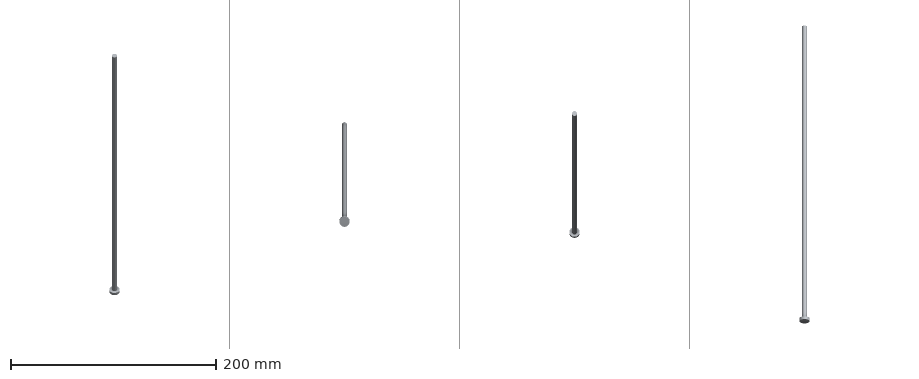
import cadquery as cq

TOTAL_LENGTH = 318.0
HEAD_DIAMETER = 10.0
HEAD_THICKNESS = 3.0
SHAFT_DIAMETER = 5.0


def make_head():
    """Disc head with its underside at Z = 0."""
    return cq.Workplane("XY").circle(HEAD_DIAMETER / 2).extrude(HEAD_THICKNESS)


def make_shaft():
    """Round shaft running the full length, through the head."""
    return cq.Workplane("XY").circle(SHAFT_DIAMETER / 2).extrude(TOTAL_LENGTH)


result = make_head().union(make_shaft())